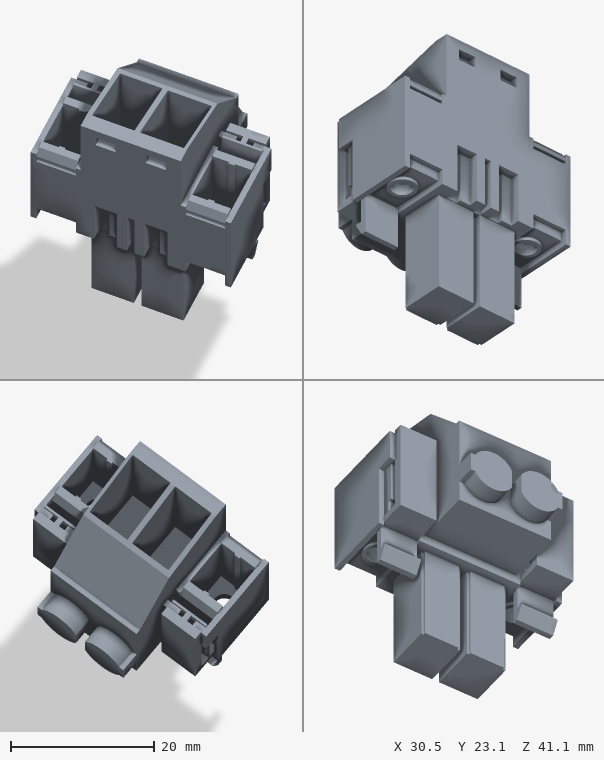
import cadquery as cq


body_half_width = 7.6
body_depth = 20.12
body_height = 41.15
crown_depth = 2.4
roof_knee_y, roof_knee_z = 12.8, 38.7
shoulder_y, shoulder_z = 19.4, 31.75
body_bottom = 15.45
rear_bottom = 16.85
rear_step_y = 11.28

flange_width = 30.5
flange_half_width = flange_width / 2
flange_top = 30.65
wall = 0.85
front_wall = 0.9
chamber_inner_x = 8.35
chamber_outer_x = flange_half_width - wall
chamber_width = chamber_outer_x - chamber_inner_x
chamber_x = (chamber_outer_x + chamber_inner_x) / 2
rear_wall_front_y, rear_wall_back_y = 13.1, 14.07
rear_wall_bottom = 25.65
upper_notch_z = 28.93
lower_notch_z = 17.85
rear_slot_width = 2.65

funnel_front_y, funnel_back_y = 2.25, 11.97
funnel_spans = [(-6.87, -0.4), (0.4, 7.1)]
funnel_floor = 24.7
pole_offset = 3.83
window_width = 3.05
window_bottom, window_top = 37.8, 39.6
recess_depth = 1.45

leg_inner_x, leg_outer_x = 0.58, 7.0
leg_front_y, leg_back_y = 2.4, 9.45
leg_rib_height = 0.35
leg_rib_inset = 0.4
groove_width = 3.55
groove_deep_y = 2.22
groove_top = 23.3

collar_radius = 3.4
collar_half_flat = 3.05
collar_z = 21.85
collar_end_y = 23.1
lug_half_height = 1.55

clip_top = 31.2
clip_bottom = 16.45
clip_floor = 1.25
clip_front_inner_y = 2.0
clip_rear_inner_y, clip_rear_y = 9.2, 10.45
barb_tip_y = 0.1
barb_tip_top, barb_tip_bottom = 30.05, 29.55
rear_barb_y, rear_barb_z = 11.25, 29.75
nub_width = 0.9
nub_height = 0.25
flange_hole_y = 5.1
flange_hole_diameter = 3.25
boss_diameter = 4.45
boss_bottom = 15.95

button_back_y = 15.47
ledge_bottom, ledge_top = 16.05, 17.2
neck_back_y, neck_front_y = 12.43, 12.22
arm_tip_front_y = 12.7
arm_bulge_y, arm_bulge_z = 11.73, 27.15
arm_lower_z = 21.9
block_bottom = 19.1
hook_front_y, hook_shoulder_y = 9.45, 9.7
hook_top, hook_bottom = 11.75, 9.63
hook_tip_y = 11.5
hook_tip_z = 11.6
hook_toe_y = 10.33
web_width = 0.82


def box(x_span, y_span, z_span):
    """Axis-aligned block given by its extent along each axis."""
    spans = (x_span, y_span, z_span)
    lengths = [max(span) - min(span) for span in spans]
    corner = tuple(min(span) for span in spans)
    return cq.Workplane("XY").box(*lengths, centered=False).translate(corner)


def side_profile(points, x_center, width):
    """Prism of a closed (Y, Z) outline, centred on x_center."""
    prism = cq.Workplane("YZ").polyline(points).close().extrude(width / 2, both=True)
    return prism.translate((x_center, 0, 0))


def centered_span(center, width):
    return (center - width / 2, center + width / 2)


def central_body():
    outline = [
        (0, body_bottom),
        (0, body_height),
        (crown_depth, body_height),
        (roof_knee_y, roof_knee_z),
        (shoulder_y, shoulder_z),
        (body_depth, shoulder_z),
        (body_depth, rear_bottom),
        (rear_step_y, rear_bottom),
        (rear_step_y, body_bottom),
    ]
    return side_profile(outline, 0, 2 * body_half_width)


def flange_frame(side):
    """Open frame around one flange chamber."""
    height = (body_bottom, flange_top)
    upper = (rear_wall_bottom, flange_top)
    chamber = (side * chamber_inner_x, side * chamber_outer_x)
    across = (side * body_half_width, side * flange_half_width)
    outer_wall = (side * chamber_outer_x, side * flange_half_width)

    frame = box(across, (0, rear_step_y), height)
    frame = frame.cut(box(chamber, (front_wall, rear_step_y), height))
    frame = frame.union(box(outer_wall, (rear_step_y, rear_wall_back_y), upper))
    rear_wall_y = (rear_wall_front_y, rear_wall_back_y)
    frame = frame.union(box(across, rear_wall_y, upper))

    slot = centered_span(side * chamber_x, rear_slot_width)
    frame = frame.cut(box(slot, rear_wall_y, upper))
    frame = frame.cut(box(chamber, (0, front_wall), (upper_notch_z, flange_top)))
    return frame.cut(box(chamber, (0, front_wall), (body_bottom, lower_notch_z)))


def plug_leg(side):
    """Plug leg with a shallow rib on its rear face."""
    x_span = (side * leg_inner_x, side * leg_outer_x)
    rib_x = (side * (leg_inner_x + leg_rib_inset), side * (leg_outer_x - leg_rib_inset))
    leg = box(x_span, (leg_front_y, leg_back_y), (0, body_bottom))
    rib = box(rib_x, (leg_back_y, leg_back_y + leg_rib_height), (0, body_bottom))
    return leg.union(rib)


def screw_collar(side):
    """Round collar with two flats, braced to the outside by a lug."""
    center_x = side * pole_offset
    y_span = (body_depth, collar_end_y)
    collar = (
        cq.Workplane("XZ", origin=(center_x, body_depth, collar_z))
        .circle(collar_radius)
        .extrude(body_depth - collar_end_y)
    )
    collar_z_span = centered_span(collar_z, 2 * collar_radius)
    between_flats = box(centered_span(center_x, 2 * collar_half_flat), y_span, collar_z_span)
    collar = collar.intersect(between_flats)
    lug = box(
        (center_x, side * body_half_width),
        y_span,
        centered_span(collar_z, 2 * lug_half_height),
    )
    return collar.union(lug)


def front_recesses(side):
    """Test window and stepped groove in front of one pole."""
    center_x = side * pole_offset
    groove_z = (body_bottom, groove_top)
    window = box(
        centered_span(center_x, window_width),
        (0, recess_depth),
        (window_bottom, window_top),
    )
    groove = box(centered_span(center_x, groove_width), (0, recess_depth), groove_z)
    deep_half = box((center_x - groove_width / 2, center_x), (0, groove_deep_y), groove_z)
    return window.union(groove).union(deep_half)


def make_housing():
    housing = central_body()
    for side in (-1, 1):
        housing = housing.union(flange_frame(side))
        housing = housing.union(plug_leg(side))
        housing = housing.union(screw_collar(side))
    for side in (-1, 1):
        housing = housing.cut(front_recesses(side))
    for span in funnel_spans:
        funnel = box(span, (funnel_front_y, funnel_back_y), (funnel_floor, body_height))
        housing = housing.cut(funnel)
    center_groove = box((-leg_inner_x, leg_inner_x), (0, leg_front_y), (body_bottom, groove_top))
    return housing.cut(center_groove)


def make_clip(side):
    """U-shaped flange clip with snap barbs, guide nubs and a screw hole."""
    center_x = side * chamber_x
    floor_top = clip_bottom + clip_floor
    outline = [
        (front_wall, clip_bottom),
        (front_wall, barb_tip_bottom),
        (barb_tip_y, barb_tip_bottom),
        (barb_tip_y, barb_tip_top),
        (front_wall, clip_top),
        (clip_front_inner_y, clip_top),
        (clip_front_inner_y, floor_top),
        (clip_rear_inner_y, floor_top),
        (clip_rear_inner_y, clip_top),
        (clip_rear_y, clip_top),
        (rear_barb_y, rear_barb_z),
        (clip_rear_y, rear_barb_z),
        (clip_rear_y, clip_bottom),
    ]
    clip = side_profile(outline, center_x, chamber_width)

    nub_x = centered_span(center_x, nub_width)
    nub_z = (floor_top, clip_top)
    clip = clip.union(box(nub_x, (clip_front_inner_y, clip_front_inner_y + nub_height), nub_z))
    clip = clip.union(box(nub_x, (clip_rear_inner_y - nub_height, clip_rear_inner_y), nub_z))

    boss_base = cq.Workplane("XY", origin=(center_x, flange_hole_y, boss_bottom))
    clip = clip.union(boss_base.circle(boss_diameter / 2).extrude(floor_top - boss_bottom))
    return clip.cut(boss_base.circle(flange_hole_diameter / 2).extrude(floor_top - boss_bottom))


def make_lever(side):
    """Locking lever: push button, spring arm and hook joined by a bottom ledge."""
    center_x = side * chamber_x
    outline = [
        (button_back_y, ledge_bottom),
        (button_back_y, clip_top),
        (rear_wall_back_y, clip_top),
        (rear_wall_back_y, ledge_top),
        (neck_back_y, ledge_top),
        (neck_back_y, block_bottom),
        (rear_wall_front_y, block_bottom),
        (rear_wall_front_y, clip_top),
        (arm_tip_front_y, clip_top),
        (arm_bulge_y, arm_bulge_z),
        (neck_front_y, arm_lower_z),
        (neck_front_y, ledge_top),
        (clip_rear_y, ledge_top),
        (clip_rear_y, clip_bottom),
        (hook_shoulder_y, clip_bottom),
        (hook_shoulder_y, ledge_bottom),
        (hook_front_y, ledge_bottom),
        (hook_front_y, hook_bottom),
        (hook_toe_y, hook_bottom),
        (hook_tip_y, hook_tip_z),
        (hook_tip_y, hook_top),
        (clip_rear_y, hook_top),
        (clip_rear_y, ledge_bottom),
    ]
    lever = side_profile(outline, center_x, chamber_width)
    web = box(
        centered_span(center_x, web_width),
        (rear_wall_front_y, rear_wall_back_y),
        (rear_wall_bottom, clip_top),
    )
    return lever.union(web)


housing = make_housing()
clips = [make_clip(side).val() for side in (-1, 1)]
levers = [make_lever(side).val() for side in (-1, 1)]

result = cq.Compound.makeCompound([housing.val(), *clips, *levers])